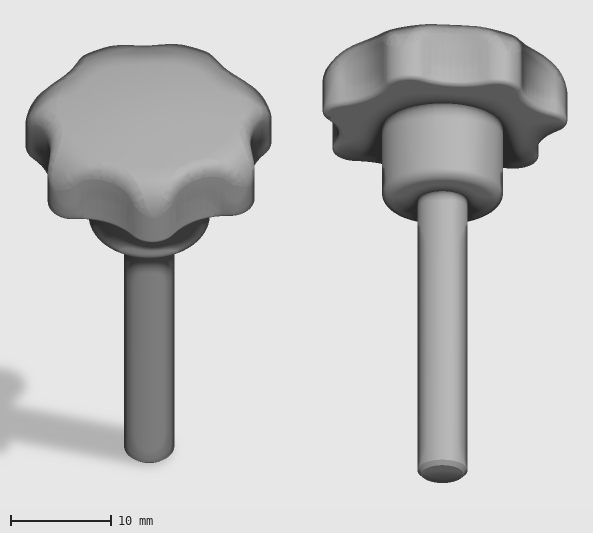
import cadquery as cq
import math

STUD_LENGTH = 30.0
HUB_HEIGHT = 8.0
HEAD_HEIGHT = 8.0
HUB_TOP = STUD_LENGTH + HUB_HEIGHT
APEX_Z = HUB_TOP + HEAD_HEIGHT

STUD_DIAMETER = 5.0
STUD_CHAMFER = 0.4

HUB_DIAMETER = 12.1
HUB_FILLET = 1.0

LOBE_COUNT = 7
TIP_RADIUS = 12.5
VALLEY_RADIUS = 10.4
LOBE_ROUND = 2.5
LOBE_PITCH = 2 * math.pi / LOBE_COUNT
FIRST_LOBE_ANGLE = math.pi

DOME_ROUND = 50.0
SHOULDER_ROUND = 4.0
SHOULDER_CLEARANCE = 0.005
SHOULDER_RADIUS = TIP_RADIUS + SHOULDER_CLEARANCE
SHOULDER_FILLET = 1.5
HEAD_BOTTOM_FILLET = 0.45


def polar(radius, angle):
    return (radius * math.cos(angle), radius * math.sin(angle))


def revolved(profile):
    """Turn a closed half profile in the XZ plane all the way around Z, with its seam on the -X side."""
    return profile.revolve(360, (0, 0), (0, 1)).rotate((0, 0, 0), (0, 0, 1), 180)


def lobe_end():
    """Radius, and angle from the lobe's middle line, where a lobe arc runs into a valley arc."""
    lobe_centre = TIP_RADIUS - LOBE_ROUND
    along = lobe_centre * math.cos(LOBE_PITCH / 2)
    valley_round = (lobe_centre**2 + VALLEY_RADIUS**2 - 2 * VALLEY_RADIUS * along - LOBE_ROUND**2) / (
        2 * (LOBE_ROUND - VALLEY_RADIUS + along)
    )
    valley_x, valley_y = polar(VALLEY_RADIUS + valley_round, LOBE_PITCH / 2)
    offset_x, offset_y = polar(LOBE_ROUND, math.atan2(valley_y, valley_x - lobe_centre))
    end_x = lobe_centre + offset_x
    return math.hypot(end_x, offset_y), math.atan2(offset_y, end_x)


def lobed_prism():
    """Prism of alternating lobe and valley arcs, as tall as the head."""
    end_radius, end_angle = lobe_end()
    outline = cq.Workplane("XY", origin=(0, 0, HUB_TOP))
    outline = outline.moveTo(*polar(end_radius, FIRST_LOBE_ANGLE - end_angle))
    for lobe in range(LOBE_COUNT):
        middle = FIRST_LOBE_ANGLE + lobe * LOBE_PITCH
        valley = middle + LOBE_PITCH / 2
        lobe_last = polar(end_radius, middle + end_angle)
        valley_last = polar(end_radius, middle + LOBE_PITCH - end_angle)
        outline = outline.threePointArc(polar(TIP_RADIUS, middle), lobe_last)
        outline = outline.threePointArc(polar(VALLEY_RADIUS, valley), valley_last)
    return outline.close().extrude(HEAD_HEIGHT)


def domed_blank():
    """Round blank with a spherical dome running smoothly into the shoulder arc."""
    centre_r = SHOULDER_RADIUS - SHOULDER_ROUND
    rim_slope = math.asin(centre_r / (DOME_ROUND - SHOULDER_ROUND))
    rim_r = DOME_ROUND * math.sin(rim_slope)
    dome_centre_z = APEX_Z - DOME_ROUND
    rim_z = dome_centre_z + DOME_ROUND * math.cos(rim_slope)
    shoulder_z = rim_z - SHOULDER_ROUND * math.cos(rim_slope)
    shoulder_offset_r, shoulder_offset_z = polar(SHOULDER_ROUND, (math.pi / 2 - rim_slope) / 2)
    shoulder_middle = (centre_r + shoulder_offset_r, shoulder_z + shoulder_offset_z)
    dome_middle = (
        DOME_ROUND * math.sin(rim_slope / 2),
        dome_centre_z + DOME_ROUND * math.cos(rim_slope / 2),
    )
    profile = (
        cq.Workplane("XZ")
        .moveTo(0, HUB_TOP)
        .lineTo(SHOULDER_RADIUS, HUB_TOP)
        .lineTo(SHOULDER_RADIUS, shoulder_z)
        .threePointArc(shoulder_middle, (rim_r, rim_z))
        .threePointArc(dome_middle, (0, APEX_Z))
        .close()
    )
    return revolved(profile)


def build_head():
    head = lobed_prism().intersect(domed_blank())
    head = head.edges("%BSPLINE").fillet(SHOULDER_FILLET)
    return head.faces("<Z").edges().fillet(HEAD_BOTTOM_FILLET)


def build_hub():
    hub = cq.Workplane("XY", origin=(0, 0, STUD_LENGTH)).circle(HUB_DIAMETER / 2).extrude(HUB_HEIGHT)
    return hub.faces("<Z").edges().fillet(HUB_FILLET)


def build_knob():
    """Head and hub, one moulded body."""
    return build_head().union(build_hub())


def build_stud():
    """Plain round stud that ends flush against the underside of the hub."""
    stud = cq.Workplane("XY").circle(STUD_DIAMETER / 2).extrude(STUD_LENGTH)
    return stud.faces("<Z").edges().chamfer(STUD_CHAMFER)


knob = build_knob()
stud = build_stud()

result = cq.Compound.makeCompound([knob.solids().val(), stud.val()])